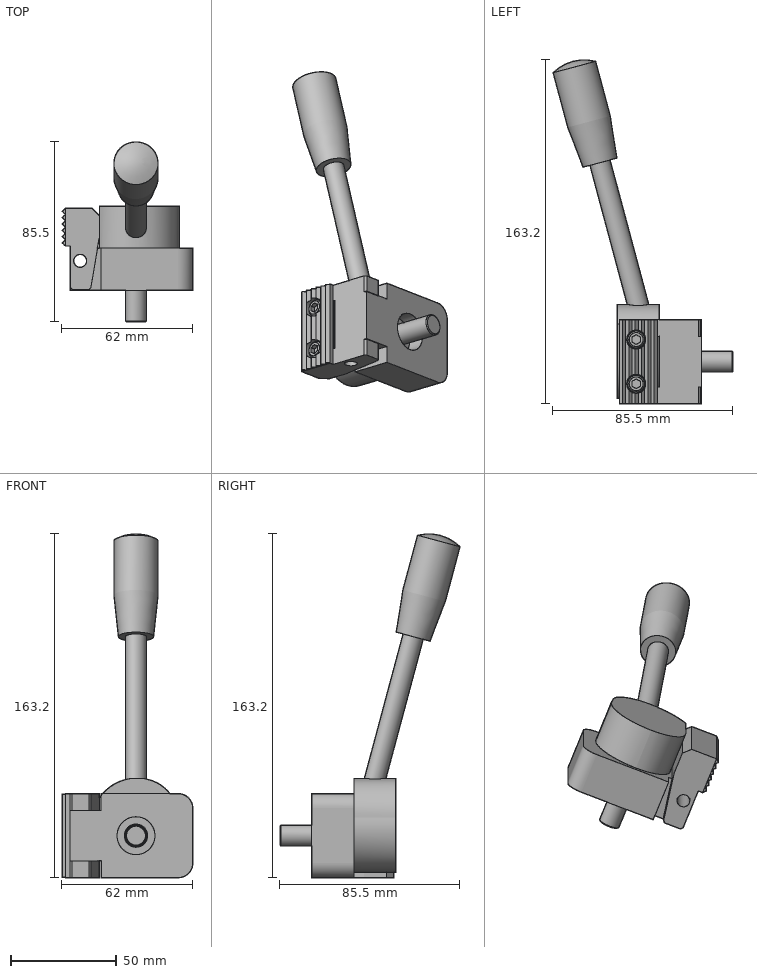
import cadquery as cq
import math

BLOCK_LEFT = -16.6
BLOCK_RIGHT = 27.0
BLOCK_DEPTH = 20.0
HALF_HEIGHT = 20.0
BLOCK_FILLET = 7.0
COUNTERBORE_DIAMETER = 18.0
COUNTERBORE_DEPTH = 8.0
STUD_HOLE_DIAMETER = 11.0

TONGUE_LEFT = -31.3
TONGUE_HALF_HEIGHT = 12.0

CAM_THICKNESS = 20.0
CAM_BASE_RADIUS = 17.4
CAM_TOP = 27.25
CAM_TOP_FLAT = 1.3
CAM_RIGHT_RADIUS = 18.7
CAM_FLAT_TOP = 17.8

STUD_DIAMETER = 10.0
STUD_LENGTH = 15.0
STUD_CHAMFER = 0.5

JAW_FRONT = 0.5
JAW_BACK = 39.0
JAW_FRONT_RIGHT = -21.4
JAW_RIGHT = -CAM_BASE_RADIUS
JAW_TAPER_END = 25.0
JAW_BACK_CHAMFER = 3.4
JAW_LEFT_CHAMFER = 1.0
JAW_RIGHT_CHAMFER = 0.8
SLOT_CLEARANCE = 0.6
TOOTH_PITCH = 3.0
TOOTH_HEIGHT = TOOTH_PITCH / 2
TOOTH_COUNT = 6
TEETH_INSET = 0.25
TEETH_HALF_HEIGHT = HALF_HEIGHT - TEETH_INSET
TOOTH_TIP = -35.0
TOOTH_ROOT = TOOTH_TIP + TOOTH_HEIGHT
TEETH_FRONT = JAW_BACK - TOOTH_COUNT * TOOTH_PITCH
PIVOT_X = -26.5
PIVOT_Y = 14.0
PIVOT_DIAMETER = 6.0

SCREW_Y = 31.0
SCREW_HALF_SPACING = 10.5
SCREW_RECESS_DIAMETER = 9.0
SCREW_RECESS_DEPTH = 5.0
SCREW_HEAD_DIAMETER = 8.0
SCREW_HEAD_HEIGHT = SCREW_RECESS_DEPTH
SCREW_HEAD_CHAMFER = 0.7
SOCKET_WIDTH = 4.0
SOCKET_DEPTH = 2.5

LEVER_TILT = 15.0
LEVER_DIAMETER = 10.0
LEVER_FOOT_Y = BLOCK_DEPTH + CAM_THICKNESS / 2
LEVER_FOOT_Z = 26.62
LEVER_ROOT_DEPTH = 8.0
KNOB_DIAMETER = 21.0
KNOB_NECK_DIAMETER = 16.8
KNOB_TAPER_LENGTH = 20.0
KNOB_STRAIGHT_LENGTH = 27.0
KNOB_DOME_HEIGHT = 2.8
KNOB_TOP_DISTANCE = 117.2


def box(x_min, x_max, y_min, y_max, half_height):
    """Box centred on z = 0."""
    return (
        cq.Workplane("XY")
        .box(x_max - x_min, y_max - y_min, 2 * half_height, centered=(False, False, True))
        .translate((x_min, y_min, 0))
    )


def rod_along_y(diameter, y_start, y_end):
    """Cylinder about the Y axis."""
    return (
        cq.Workplane("XZ", origin=(0, y_start, 0))
        .circle(diameter / 2)
        .extrude(y_start - y_end)
    )


def make_block():
    body = box(BLOCK_LEFT, BLOCK_RIGHT, 0, BLOCK_DEPTH, HALF_HEIGHT)
    body = body.edges("|Y and >X").fillet(BLOCK_FILLET)
    body = body.union(box(TONGUE_LEFT, BLOCK_LEFT, 0, BLOCK_DEPTH, TONGUE_HALF_HEIGHT))
    body = body.cut(rod_along_y(COUNTERBORE_DIAMETER, 0, COUNTERBORE_DEPTH))
    return body.cut(rod_along_y(STUD_HOLE_DIAMETER, 0, BLOCK_DEPTH))


def make_cam():
    right_x = CAM_TOP_FLAT + CAM_RIGHT_RADIUS
    right_z = CAM_TOP - CAM_RIGHT_RADIUS
    left_drop = CAM_TOP - CAM_FLAT_TOP
    left_radius = (CAM_BASE_RADIUS**2 + left_drop**2) / (2 * left_drop)
    left_half_angle = math.asin(CAM_BASE_RADIUS / left_radius) / 2
    left_mid = (
        -left_radius * math.sin(left_half_angle),
        CAM_TOP - left_radius * (1 - math.cos(left_half_angle)),
    )
    diagonal = math.sqrt(0.5)
    right_mid = (CAM_TOP_FLAT + CAM_RIGHT_RADIUS * diagonal, right_z + CAM_RIGHT_RADIUS * diagonal)
    base_mid = (-CAM_BASE_RADIUS * diagonal, -CAM_BASE_RADIUS * diagonal)
    return (
        cq.Workplane("XZ", origin=(0, BLOCK_DEPTH, 0))
        .moveTo(-CAM_BASE_RADIUS, CAM_FLAT_TOP)
        .lineTo(-CAM_BASE_RADIUS, 0)
        .threePointArc(base_mid, (0, -CAM_BASE_RADIUS))
        .tangentArcPoint((right_x, right_z), relative=False)
        .threePointArc(right_mid, (CAM_TOP_FLAT, CAM_TOP))
        .lineTo(0, CAM_TOP)
        .threePointArc(left_mid, (-CAM_BASE_RADIUS, CAM_FLAT_TOP))
        .close()
        .extrude(-CAM_THICKNESS)
    )


def make_stud():
    stud = rod_along_y(STUD_DIAMETER, -STUD_LENGTH, BLOCK_DEPTH)
    return stud.faces("<Y").chamfer(STUD_CHAMFER)


def make_screw(z):
    """Return the recess and the socket-head screw at height z."""
    recess_floor = TOOTH_ROOT + SCREW_RECESS_DEPTH
    floor_plane = cq.Workplane("YZ", origin=(recess_floor, SCREW_Y, z))
    recess = floor_plane.circle(SCREW_RECESS_DIAMETER / 2).extrude(TOOTH_TIP - recess_floor)
    head = floor_plane.circle(SCREW_HEAD_DIAMETER / 2).extrude(-SCREW_HEAD_HEIGHT)
    head = head.faces("<X").chamfer(SCREW_HEAD_CHAMFER)
    socket_corner_diameter = SOCKET_WIDTH / math.cos(math.pi / 6)
    socket = (
        cq.Workplane("YZ", origin=(recess_floor - SCREW_HEAD_HEIGHT, SCREW_Y, z))
        .transformed(rotate=(0, 0, 90))
        .polygon(6, socket_corner_diameter)
        .extrude(SOCKET_DEPTH)
    )
    return recess, head.cut(socket)


def make_teeth():
    """Row of right-angled teeth, stopping just short of the jaw's top and bottom."""
    outline = cq.Workplane("XY", origin=(0, 0, -TEETH_HALF_HEIGHT)).moveTo(TOOTH_ROOT, JAW_BACK)
    for tooth in range(TOOTH_COUNT):
        tooth_back = JAW_BACK - tooth * TOOTH_PITCH
        outline = outline.lineTo(TOOTH_TIP, tooth_back - TOOTH_PITCH / 2)
        outline = outline.lineTo(TOOTH_ROOT, tooth_back - TOOTH_PITCH)
    outline = outline.lineTo(TONGUE_LEFT, TEETH_FRONT).lineTo(TONGUE_LEFT, JAW_BACK)
    return outline.close().extrude(2 * TEETH_HALF_HEIGHT)


def make_jaw():
    jaw = (
        cq.Workplane("XY", origin=(0, 0, -HALF_HEIGHT))
        .moveTo(TONGUE_LEFT, JAW_FRONT + JAW_LEFT_CHAMFER)
        .lineTo(TONGUE_LEFT + JAW_LEFT_CHAMFER, JAW_FRONT)
        .lineTo(JAW_FRONT_RIGHT - JAW_RIGHT_CHAMFER, JAW_FRONT)
        .lineTo(JAW_FRONT_RIGHT, JAW_FRONT + JAW_RIGHT_CHAMFER)
        .lineTo(JAW_RIGHT, JAW_TAPER_END)
        .lineTo(JAW_RIGHT, JAW_BACK - JAW_BACK_CHAMFER)
        .lineTo(JAW_RIGHT - JAW_BACK_CHAMFER, JAW_BACK)
        .lineTo(TOOTH_ROOT, JAW_BACK)
        .lineTo(TOOTH_ROOT, TEETH_FRONT)
        .lineTo(TONGUE_LEFT, TEETH_FRONT)
        .close()
        .extrude(2 * HALF_HEIGHT)
    )
    jaw = jaw.union(make_teeth())

    slot_back = BLOCK_DEPTH + SLOT_CLEARANCE
    jaw = jaw.cut(box(TOOTH_TIP, BLOCK_LEFT, 0, slot_back, TONGUE_HALF_HEIGHT))

    for z in (-SCREW_HALF_SPACING, SCREW_HALF_SPACING):
        recess, screw = make_screw(z)
        jaw = jaw.cut(recess).union(screw)
    return jaw


def make_pivot_hole():
    return (
        cq.Workplane("XY", origin=(PIVOT_X, PIVOT_Y, -HALF_HEIGHT))
        .circle(PIVOT_DIAMETER / 2)
        .extrude(2 * HALF_HEIGHT)
    )


def make_lever():
    """Half-profile turned about the vertical, then tilted back onto the cam."""
    rod_radius = LEVER_DIAMETER / 2
    knob_radius = KNOB_DIAMETER / 2
    taper_top = KNOB_TOP_DISTANCE - KNOB_STRAIGHT_LENGTH
    knob_bottom = taper_top - KNOB_TAPER_LENGTH
    apex = KNOB_TOP_DISTANCE + KNOB_DOME_HEIGHT
    dome_radius = (knob_radius**2 + KNOB_DOME_HEIGHT**2) / (2 * KNOB_DOME_HEIGHT)
    dome_half_angle = math.asin(knob_radius / dome_radius) / 2
    dome_mid = (
        dome_radius * math.sin(dome_half_angle),
        apex - dome_radius * (1 - math.cos(dome_half_angle)),
    )
    lever = (
        cq.Workplane("XZ")
        .moveTo(0, -LEVER_ROOT_DEPTH)
        .lineTo(rod_radius, -LEVER_ROOT_DEPTH)
        .lineTo(rod_radius, knob_bottom)
        .lineTo(KNOB_NECK_DIAMETER / 2, knob_bottom)
        .lineTo(knob_radius, taper_top)
        .lineTo(knob_radius, KNOB_TOP_DISTANCE)
        .threePointArc(dome_mid, (0, apex))
        .close()
        .revolve(360, (0, 0, 0), (0, 1, 0))
    )
    lever = lever.rotate((0, 0, 0), (1, 0, 0), -LEVER_TILT)
    return lever.translate((0, LEVER_FOOT_Y, LEVER_FOOT_Z))


clamp = make_block().union(make_cam()).union(make_stud()).union(make_jaw())
result = clamp.cut(make_pivot_hole()).union(make_lever())